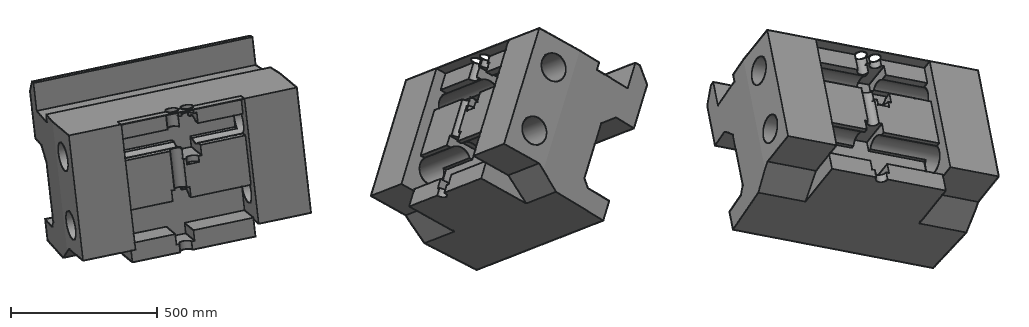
import cadquery as cq

TILT = 18.5
WIDTH = 829.0
DEPTH = 516.5

HOOK_FRONT = -474.0
HOOK_BACK = -403.0
HOOK_TIP_FRONT = -424.0
HOOK_RISE = 72.0
HOOK_BEVEL_RISE = 22.0
NOTCH_BACK = -264.0
NOTCH_DEPTH = 29.0
JAW_BACK = -342.0
JAW_TOP = 149.0
JAW_TOP_BEVEL_FRONT = -392.0
JAW_TOP_BEVEL_DEPTH = 198.0
JAW_BOTTOM = 439.0
JAW_BOTTOM_BEVEL_FRONT = -367.0
JAW_BOTTOM_BEVEL_DEPTH = 414.5
FOOT_FRONT = -464.0

CHEEK_DEPTH = 455.0
CHEEK_BEVEL_TOP = -151.0
CHEEK_BEVEL_BOTTOM = -249.0

MIDDLE_WIDTH = 448.0
MIDDLE_BACK = -39.0
LIP_BACK = -54.0
GAP_FRONT = -149.0
FLANGE_DEPTH = 66.0
BLOCK_TOP = 145.0
BLOCK_BOTTOM = 324.0
LIP_TOP = 448.0
COVER_THICKNESS = 2.0

DRAFT_START = -175.0
DRAFT_INSET = 21.5

PIN_DIAMETER = 100.0
PIN_X = -97.0
PIN_DEPTHS = (105.0, 354.0)

BOLT_DIAMETER = 44.0
BOLT_Y = 27.0
POCKET_WIDTH = 66.0
POCKET_DEPTH = 38.0
BLIND_HOLE_DEPTH = 21.5


def extrude_profile(points, width):
    """Extrude (x, depth) points symmetrically along Y."""
    outline = [(x, -depth) for x, depth in points]
    return cq.Workplane("XZ").polyline(outline).close().extrude(width / 2, both=True)


def bolt_bore(x, y, top, bottom):
    """Vertical cylinder between two depths."""
    bore = cq.Workplane("XY", origin=(x, y, -bottom))
    return bore.circle(BOLT_DIAMETER / 2).extrude(bottom - top)


def bolt_pocket(y, top, bottom):
    """Slot open to the rear, reaching in to the front wall of the gaps."""
    pocket = cq.Workplane("XY", origin=(GAP_FRONT / 2, y, -bottom))
    return pocket.rect(-GAP_FRONT, POCKET_WIDTH).extrude(bottom - top)


def draft_envelope():
    """Plan outline with both ends drawn in toward the front."""
    half = WIDTH / 2
    front_half = half - DRAFT_INSET
    plan = [
        (HOOK_FRONT, -front_half),
        (DRAFT_START, -half),
        (0, -half),
        (0, half),
        (DRAFT_START, half),
        (HOOK_FRONT, front_half),
    ]
    height = DEPTH + HOOK_RISE
    return cq.Workplane("XY", origin=(0, 0, -DEPTH)).polyline(plan).close().extrude(height)


front_profile = [
    (NOTCH_BACK, 0),
    (NOTCH_BACK, NOTCH_DEPTH),
    (HOOK_BACK, NOTCH_DEPTH),
    (HOOK_BACK, -HOOK_RISE),
    (HOOK_TIP_FRONT, -HOOK_RISE),
    (HOOK_FRONT, -HOOK_BEVEL_RISE),
    (HOOK_FRONT, JAW_TOP),
    (JAW_TOP_BEVEL_FRONT, JAW_TOP),
    (JAW_BACK, JAW_TOP_BEVEL_DEPTH),
    (JAW_BACK, JAW_BOTTOM_BEVEL_DEPTH),
    (JAW_BOTTOM_BEVEL_FRONT, JAW_BOTTOM),
    (FOOT_FRONT, JAW_BOTTOM),
    (FOOT_FRONT, DEPTH),
]
cheek_profile = [
    (CHEEK_BEVEL_BOTTOM, DEPTH),
    (CHEEK_BEVEL_TOP, CHEEK_DEPTH),
    (0, CHEEK_DEPTH),
    (0, 0),
]
middle_profile = [
    (LIP_BACK, DEPTH),
    (LIP_BACK, LIP_TOP),
    (GAP_FRONT, LIP_TOP),
    (GAP_FRONT, BLOCK_BOTTOM),
    (MIDDLE_BACK, BLOCK_BOTTOM),
    (MIDDLE_BACK, BLOCK_TOP),
    (GAP_FRONT, BLOCK_TOP),
    (GAP_FRONT, FLANGE_DEPTH),
    (MIDDLE_BACK, FLANGE_DEPTH),
    (MIDDLE_BACK, COVER_THICKNESS),
    (0, COVER_THICKNESS),
    (0, 0),
]

middle_space = cq.Workplane("XY").box(-2 * HOOK_FRONT, MIDDLE_WIDTH, 2 * DEPTH)
middle_space = middle_space.translate((HOOK_FRONT, 0, -DEPTH / 2))
cheeks = extrude_profile(front_profile + cheek_profile, WIDTH).cut(middle_space)
middle = extrude_profile(front_profile + middle_profile, MIDDLE_WIDTH)
body = cheeks.union(middle).intersect(draft_envelope())

for pin_depth in PIN_DEPTHS:
    pin = cq.Workplane("XZ", origin=(PIN_X, 0, -pin_depth)).circle(PIN_DIAMETER / 2)
    body = body.cut(pin.extrude(WIDTH, both=True))

block_pocket_floor = BLOCK_TOP + POCKET_DEPTH
body = body.cut(bolt_bore(MIDDLE_BACK, BOLT_Y, 0, FLANGE_DEPTH))
body = body.cut(bolt_bore(MIDDLE_BACK, BOLT_Y, BLOCK_TOP, block_pocket_floor + BLIND_HOLE_DEPTH))
body = body.cut(bolt_pocket(BOLT_Y, FLANGE_DEPTH - POCKET_DEPTH, FLANGE_DEPTH))
body = body.cut(bolt_pocket(BOLT_Y, BLOCK_TOP, block_pocket_floor))

body = body.cut(bolt_bore(MIDDLE_BACK, -BOLT_Y, 0, BLOCK_BOTTOM))
body = body.cut(bolt_bore(LIP_BACK, -BOLT_Y, LIP_TOP, DEPTH))
body = body.cut(bolt_pocket(-BOLT_Y, BLOCK_BOTTOM - POCKET_DEPTH, BLOCK_BOTTOM))
body = body.cut(bolt_pocket(-BOLT_Y, LIP_TOP, LIP_TOP + POCKET_DEPTH))

result = body.rotate((0, 0, 0), (0, 1, 0), -TILT)